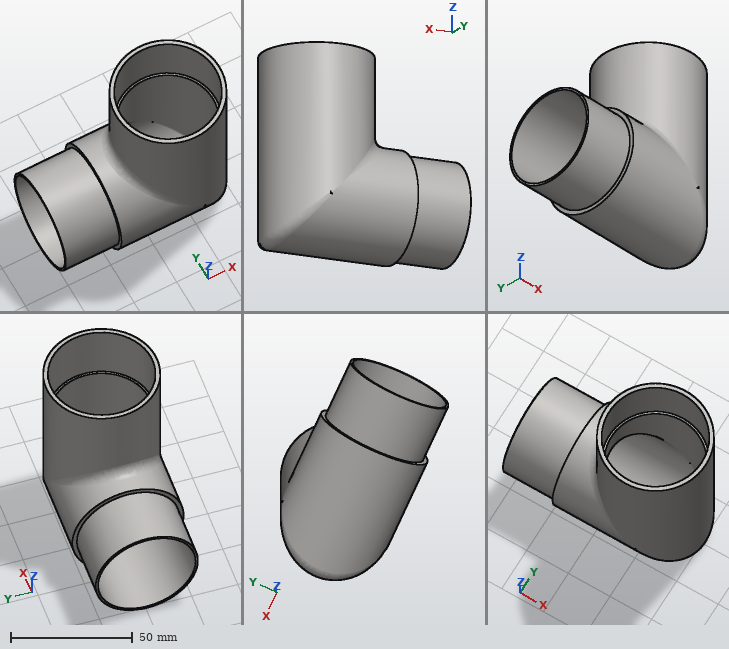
import cadquery as cq

overall_size = 84.15
body_diameter = 48.3
spigot_diameter = 44.35
bore_diameter = 42.25
joint_length = 25.0
outer_blend = 4.0
bore_blend = 0.8
blended_share = 0.98

body_radius = body_diameter / 2
leg_length = overall_size - body_radius


def mitred_elbow(diameter):
    """Two equal solid legs along -X and +Z, meeting at a 45 degree mitre."""
    radius = diameter / 2
    reach = leg_length + radius
    along_x = cq.Workplane("YZ").workplane(offset=-leg_length).circle(radius).extrude(reach)
    along_z = cq.Workplane("XY").workplane(offset=-radius).circle(radius).extrude(reach)
    below_mitre = (
        cq.Workplane("XZ")
        .polyline([(-reach, reach), (reach, -reach), (-reach, -reach)])
        .close()
        .extrude(radius, both=True)
    )
    return along_x.intersect(below_mitre).union(along_z.cut(below_mitre))


def blended_elbow(diameter, blend):
    """Elbow with its mitre edge rounded, except where it fades out at the two flanks."""
    elbow = mitred_elbow(diameter)
    slab_size = 3 * overall_size
    middle_slab = cq.Workplane("XY").box(slab_size, blended_share * diameter, slab_size)
    middle = elbow.intersect(middle_slab).edges("%ELLIPSE").fillet(blend)
    flanks = elbow.cut(middle_slab)
    return middle.union(flanks)


def spigot_relief():
    """Ring that reduces the horizontal leg to the spigot diameter."""
    return (
        cq.Workplane("YZ")
        .workplane(offset=-leg_length)
        .circle(body_diameter)
        .circle(spigot_diameter / 2)
        .extrude(joint_length)
    )


def socket():
    """Counterbore in the top of the vertical leg."""
    return (
        cq.Workplane("XY")
        .workplane(offset=leg_length)
        .circle(spigot_diameter / 2)
        .extrude(-joint_length)
    )


result = (
    blended_elbow(body_diameter, outer_blend)
    .cut(spigot_relief())
    .cut(blended_elbow(bore_diameter, bore_blend))
    .cut(socket())
)